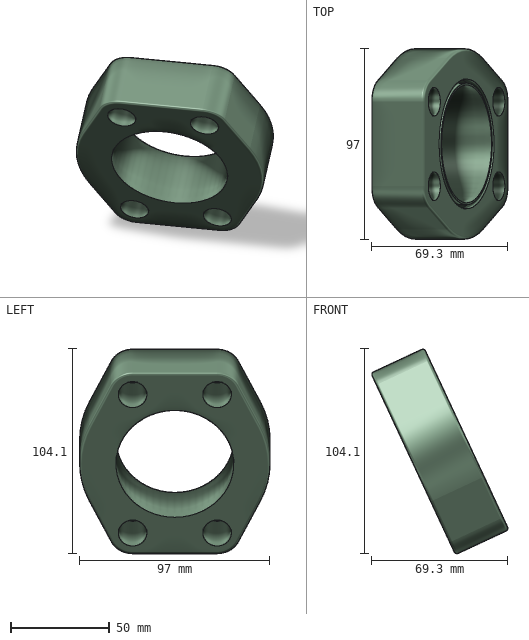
import cadquery as cq
import math

tilt = 25.0
overall_height = 104.1
width = 97.0
thickness = 30.0
edge_radius = 1.5
bore_diameter = 60.0
bolt_diameter = 14.5
bolt_spacing_long = 77.7
bolt_spacing_wide = 43.0
groove_outer_diameter = 66.0
groove_inner_diameter = 62.0
groove_depth = 5.0

tilt_rad = math.radians(tilt)
flat_thickness = thickness - 2 * edge_radius
flat_height = overall_height - 2 * edge_radius
flat_length = (flat_height - flat_thickness * math.sin(tilt_rad)) / math.cos(tilt_rad)
length = flat_length + 2 * edge_radius

side_radius = width / 2
bolt_x = bolt_spacing_long / 2
bolt_y = bolt_spacing_wide / 2
corner_radius = length / 2 - bolt_x

center_distance = math.hypot(bolt_x, bolt_y)
side_normal = math.atan2(bolt_y, bolt_x) + math.acos((side_radius - corner_radius) / center_distance)

flange_plane = cq.Plane(
    origin=(0, 0, 0),
    xDir=(math.sin(tilt_rad), 0, -math.cos(tilt_rad)),
    normal=(math.cos(tilt_rad), 0, math.sin(tilt_rad)),
)


def make_body():
    """Plate with two end flats, rounded corners, tapered sides and rounded face edges."""
    half_normal = side_normal / 2
    corner_mid_x = bolt_x + corner_radius * math.cos(half_normal)
    corner_mid_y = bolt_y + corner_radius * math.sin(half_normal)
    corner_end_x = bolt_x + corner_radius * math.cos(side_normal)
    corner_end_y = bolt_y + corner_radius * math.sin(side_normal)
    side_x = side_radius * math.cos(side_normal)
    side_y = side_radius * math.sin(side_normal)
    end_x = length / 2

    outline = (
        cq.Workplane(flange_plane)
        .workplane(offset=-thickness / 2)
        .moveTo(end_x, -bolt_y)
        .lineTo(end_x, bolt_y)
        .threePointArc((corner_mid_x, corner_mid_y), (corner_end_x, corner_end_y))
        .lineTo(side_x, side_y)
        .threePointArc((0, side_radius), (-side_x, side_y))
        .lineTo(-corner_end_x, corner_end_y)
        .threePointArc((-corner_mid_x, corner_mid_y), (-end_x, bolt_y))
        .lineTo(-end_x, -bolt_y)
        .threePointArc((-corner_mid_x, -corner_mid_y), (-corner_end_x, -corner_end_y))
        .lineTo(-side_x, -side_y)
        .threePointArc((0, -side_radius), (side_x, -side_y))
        .lineTo(corner_end_x, -corner_end_y)
        .threePointArc((corner_mid_x, -corner_mid_y), (end_x, -bolt_y))
        .close()
    )
    flat_faces = cq.selectors.ParallelDirSelector(flange_plane.zDir)
    return outline.extrude(thickness).faces(flat_faces).edges().fillet(edge_radius)


def make_through_holes():
    """Central bore and four bolt holes."""
    base = cq.Workplane(flange_plane).workplane(offset=-thickness / 2)
    bore = base.circle(bore_diameter / 2).extrude(thickness)
    bolts = (
        base.rect(bolt_spacing_long, bolt_spacing_wide, forConstruction=True)
        .vertices()
        .circle(bolt_diameter / 2)
        .extrude(thickness)
    )
    return bore, bolts


def make_seal_groove():
    """Ring-shaped groove around the bore in the upward-tilted face."""
    return (
        cq.Workplane(flange_plane)
        .workplane(offset=thickness / 2)
        .circle(groove_outer_diameter / 2)
        .circle(groove_inner_diameter / 2)
        .extrude(-groove_depth)
    )


bore, bolts = make_through_holes()
result = make_body().cut(bore).cut(bolts).cut(make_seal_groove())